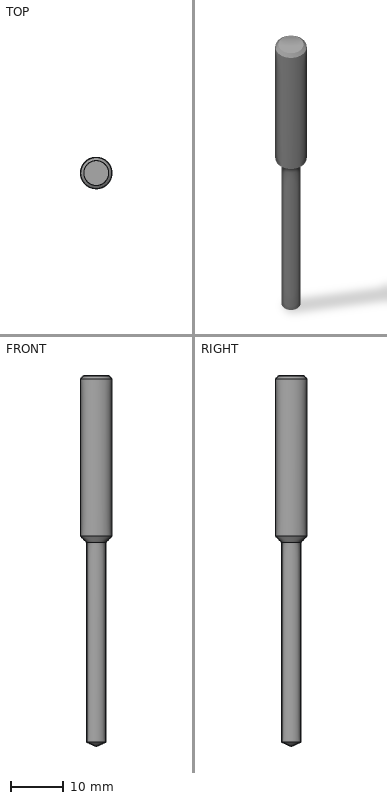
import cadquery as cq
import math

total_length = 71.0
shank_diameter = 6.0
drill_diameter = 3.7
shank_bottom_z = 40.25
end_chamfer = 0.65
point_angle = 130.0

shank_radius = shank_diameter / 2
drill_radius = drill_diameter / 2
neck_height = shank_radius - drill_radius
neck_bottom_z = shank_bottom_z - neck_height
tip_height = drill_radius / math.tan(math.radians(point_angle / 2))


def revolve_profile(points):
    """Turn a closed (radius, height) outline about the Z axis."""
    return cq.Workplane("XZ").polyline(points).close().revolve(360, (0, 0), (0, 1))


def make_shank():
    """Cylindrical shank with a chamfered top and a conical neck below."""
    return revolve_profile([
        (0, neck_bottom_z),
        (drill_radius, neck_bottom_z),
        (shank_radius, shank_bottom_z),
        (shank_radius, total_length - end_chamfer),
        (shank_radius - end_chamfer, total_length),
        (0, total_length),
    ])


def make_drill():
    """Round drill with a pointed tip, meeting the neck of the shank end to end."""
    return revolve_profile([
        (0, 0),
        (drill_radius, tip_height),
        (drill_radius, neck_bottom_z),
        (0, neck_bottom_z),
    ])


shank = make_shank()
drill = make_drill()

result = cq.Compound.makeCompound([shank.val(), drill.val()])